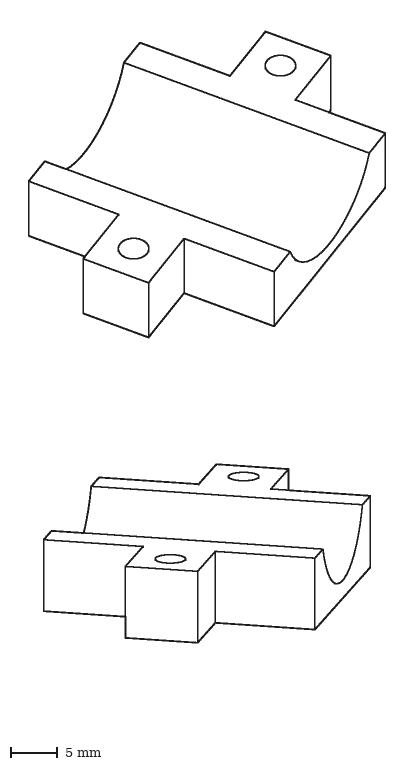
import cadquery as cq

body_length = 30.0
total_width = 41.0
height = 8.0
tab_size = 8.0
body_width = total_width - 2 * tab_size

trough_radius = 9.6
trough_floor = 2.0
trough_axis_z = trough_floor + trough_radius

hole_diameter = 3.3
hole_offset = (body_width + tab_size) / 2


def make_plate():
    """Body block and the cross bar whose ends form the tabs, resting on Z = 0."""
    on_base = (True, True, False)
    body = cq.Workplane("XY").box(body_length, body_width, height, centered=on_base)
    tabs = cq.Workplane("XY").box(tab_size, total_width, height, centered=on_base)
    return body.union(tabs)


def make_trough():
    """Cylinder along X that hollows out the top of the body."""
    return (
        cq.Workplane("YZ")
        .center(0, trough_axis_z)
        .circle(trough_radius)
        .extrude(body_length / 2, both=True)
    )


def make_screw_holes():
    """Vertical through holes, one in each tab."""
    return (
        cq.Workplane("XY")
        .pushPoints([(0, -hole_offset), (0, hole_offset)])
        .circle(hole_diameter / 2)
        .extrude(height)
    )


result = make_plate().cut(make_trough()).cut(make_screw_holes())